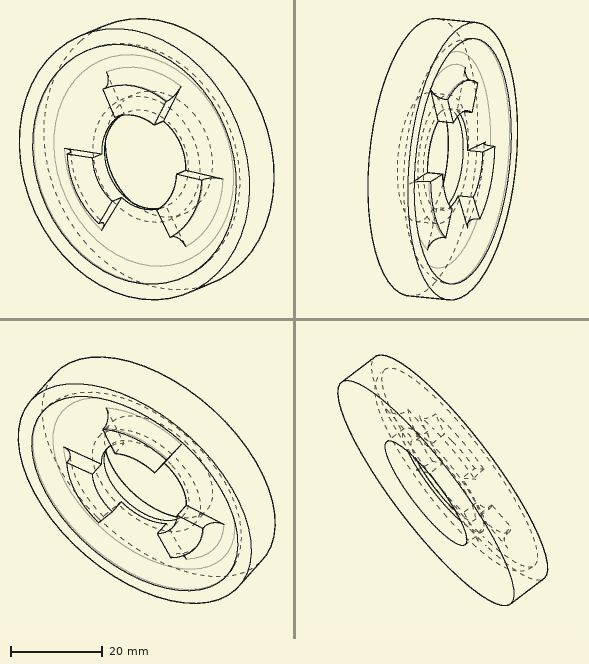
import cadquery as cq
outer_radius = 30.5
thickness = 9.5
rim_inner_radius = 26.95
bore_radius = 11.1
recess_depth = 3.6
counterbore_radius = 14.15
counterbore_depth = 4.9
fillet_radius = 3.2
lug_radius = 17.8
lug_angle = 56.0
lug_count = 3

floor_height = thickness - recess_depth
fillet_top = floor_height + fillet_radius
lug_foot_radius = lug_radius + fillet_radius
recess_floor_radius = rim_inner_radius - fillet_radius
arc_offset = fillet_radius * 0.5**0.5
lug_pitch = 360 / lug_count


def rim_profile():
    """Open outline from the bore, down the back counterbore and round the rim to the floor."""
    return (
        cq.Workplane("XZ")
        .moveTo(bore_radius, counterbore_depth)
        .lineTo(counterbore_radius, counterbore_depth)
        .lineTo(counterbore_radius, 0)
        .lineTo(outer_radius, 0)
        .lineTo(outer_radius, thickness)
        .lineTo(rim_inner_radius, thickness)
        .lineTo(rim_inner_radius, fillet_top)
        .threePointArc(
            (recess_floor_radius + arc_offset, fillet_top - arc_offset),
            (recess_floor_radius, floor_height),
        )
    )


def plain_profile():
    """Section between the lugs: the floor runs straight to the bore."""
    return rim_profile().lineTo(bore_radius, floor_height).close()


def lug_profile():
    """Section through a lug: a concave foot rises from the floor to the lug face."""
    return (
        rim_profile()
        .lineTo(lug_foot_radius, floor_height)
        .threePointArc(
            (lug_foot_radius - arc_offset, fillet_top - arc_offset),
            (lug_radius, fillet_top),
        )
        .lineTo(lug_radius, thickness)
        .lineTo(bore_radius, thickness)
        .close()
    )


def sector(profile, angle, direction):
    """Revolve a section through an angle, centred on a direction about Z."""
    return (
        profile.revolve(angle, (0, 0), (0, 1))
        .rotate((0, 0, 0), (0, 0, 1), direction - angle / 2)
    )


ring = cq.Workplane("XY")
for index in range(lug_count):
    lug_direction = 90 + index * lug_pitch
    ring = ring.union(sector(lug_profile(), lug_angle, lug_direction))
    gap_direction = lug_direction + lug_pitch / 2
    ring = ring.union(sector(plain_profile(), lug_pitch - lug_angle, gap_direction))

result = ring.clean().rotate((0, 0, 0), (1, 0, 0), 90).translate((0, thickness / 2, 0))